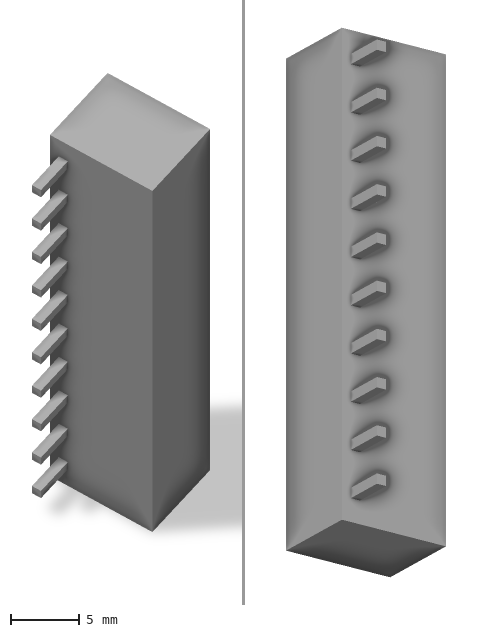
import cadquery as cq

housing_width = 9.2
housing_depth = 7.27
housing_height = 38.9

pin_count = 10
pin_pitch = 3.8
pin_size = 0.8
pin_length = 3.4
pin_center_x = 1.2
pin_row_height = (pin_count - 1) * pin_pitch
first_pin_z = (housing_height - pin_row_height) / 2


def make_housing():
    """Plain block with its lower -X, -Y corner at the origin."""
    return cq.Workplane("XY").box(housing_width, housing_depth, housing_height, centered=False)


def make_pin(center_z):
    """Square pin reaching from the -Y face of the housing toward -Y."""
    return (
        cq.Workplane("XZ")
        .center(pin_center_x, center_z)
        .rect(pin_size, pin_size)
        .extrude(pin_length)
    )


result = make_housing()
for index in range(pin_count):
    result = result.union(make_pin(first_pin_z + index * pin_pitch))